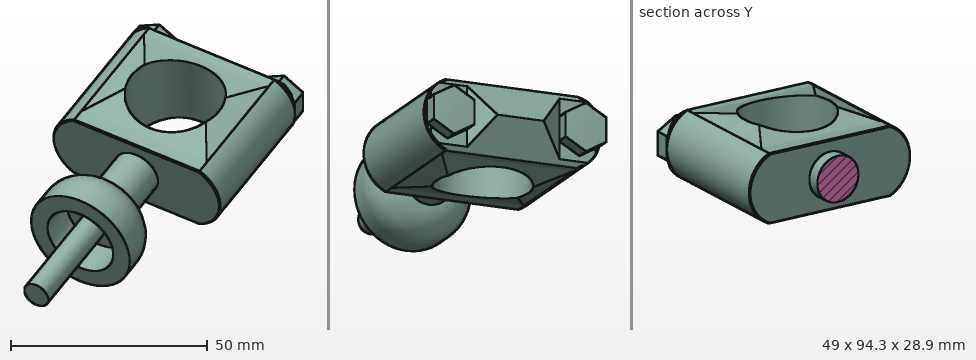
import cadquery as cq
import math

half_width = 24.5
half_thickness = 9.5
side_radius = 10.5
block_front_y = -19.7
block_back_y = 18.7
block_edge = 0.3
bore_radius = 12.8

pad_base_half_x = 18.1
pad_base_half_y = 15.5
pad_top_half_x = 11.9
pad_top_half_y = 5.0
pad_height = 1.9
pad_top_z = half_thickness + pad_height

cap_flat_y = 19.3
cap_end_inset = 1.4
ridge_y = 23.9
ridge_half_length = 6.4
ridge_foot_half_length = 12.8

bolt_x = 18.3
bolt_corner_radius = 6.5
bolt_flat_radius = bolt_corner_radius * math.cos(math.pi / 6)
head_top_y = 23.5
head_dome_height = 0.24
head_dome_radius = (bolt_flat_radius**2 + head_dome_height**2) / (2 * head_dome_height)

total_length = 94.3
stem_radius = 12.6 / 2
cup_radius = 28.9 / 2
cup_fillet = cup_radius - stem_radius
cup_back_y = -33.85
cup_front_y = -48.1
cup_bore_radius = 9.6
cup_bore_depth = 9.6
rod_radius = 7.1 / 2
rod_end_y = ridge_y - total_length


def along_y(start_y):
    """Plane square to Y at start_y, with local x on X, local y on Z and extrusion toward -Y."""
    return cq.Workplane("XZ", origin=(0, start_y, 0))


def block_section(start_y, length):
    """Rounded bar section, trimmed flat at top and bottom, extruded toward -Y."""
    width = 2 * half_width
    rounded = along_y(start_y).slot2D(width, 2 * side_radius).extrude(length)
    flats = along_y(start_y).rect(width, 2 * half_thickness).extrude(length)
    return rounded.intersect(flats)


def make_block():
    block = block_section(block_back_y, block_back_y - block_front_y)
    return block.faces("<Y or >Y").chamfer(block_edge)


def pad_outline(top_half_x):
    """Corners of a trapezoid across the pad, in X and Z."""
    return [
        (-pad_base_half_x, half_thickness),
        (pad_base_half_x, half_thickness),
        (top_half_x, pad_top_z),
        (-top_half_x, pad_top_z),
    ]


def make_pad():
    """Low pyramid with side faces that follow the bore edge across its middle."""
    pad = (
        cq.Workplane("XY", origin=(0, 0, half_thickness))
        .rect(2 * pad_base_half_x, 2 * pad_base_half_y)
        .workplane(offset=pad_height)
        .rect(2 * pad_top_half_x, 2 * pad_top_half_y)
        .loft(ruled=True)
    )
    for side in (-1, 1):
        middle = (
            along_y(0)
            .polyline(pad_outline(bore_radius))
            .close()
            .workplane(offset=side * pad_top_half_y)
            .polyline(pad_outline(pad_top_half_x))
            .close()
            .loft(ruled=True)
        )
        pad = pad.union(middle)
    return pad


def make_cap():
    """Gable whose roof slopes to both flat faces, with its ridge cut short along X."""
    profile_right = [
        (half_width - block_edge, block_back_y),
        (half_width - block_edge - cap_end_inset, cap_flat_y),
        (ridge_foot_half_length, cap_flat_y),
        (ridge_half_length, ridge_y),
    ]
    profile_left = [(-x, y) for x, y in reversed(profile_right)]
    profile = (
        cq.Workplane("XY")
        .polyline(profile_right + profile_left)
        .close()
        .extrude(half_thickness, both=True)
    )
    roof_half = half_thickness - block_edge
    roof = (
        cq.Workplane("YZ")
        .polyline([(block_back_y, -roof_half), (ridge_y, 0), (block_back_y, roof_half)])
        .close()
        .extrude(half_width, both=True)
    )
    outline = block_section(ridge_y, ridge_y - block_back_y)
    return profile.intersect(roof).intersect(outline)


def make_bolt_head(x):
    """Hexagon head with corners pointing up and down, under a shallow dome."""
    head = (
        along_y(head_top_y)
        .center(x, 0)
        .transformed(rotate=(0, 0, 90))
        .polygon(6, 2 * bolt_corner_radius)
        .extrude(head_top_y - cap_flat_y)
    )
    dome = (
        cq.Workplane("XY", origin=(x, 0, 0))
        .moveTo(0, head_top_y)
        .lineTo(bolt_flat_radius, head_top_y)
        .radiusArc((0, head_top_y + head_dome_height), -head_dome_radius)
        .close()
        .revolve(360, (0, 0, 0), (0, 1, 0))
    )
    return head.union(dome)


def make_stem_and_cup():
    floor_y = cup_front_y + cup_bore_depth
    return (
        cq.Workplane("XY")
        .moveTo(0, block_front_y)
        .lineTo(stem_radius, block_front_y)
        .lineTo(stem_radius, cup_back_y)
        .radiusArc((cup_radius, cup_back_y - cup_fillet), cup_fillet)
        .lineTo(cup_radius, cup_front_y)
        .lineTo(cup_bore_radius, cup_front_y)
        .lineTo(cup_bore_radius, floor_y)
        .lineTo(rod_radius, floor_y)
        .lineTo(rod_radius, rod_end_y)
        .lineTo(0, rod_end_y)
        .close()
        .revolve(360, (0, 0, 0), (0, 1, 0))
    )


bore = cq.Workplane("XY", origin=(0, 0, -pad_top_z)).circle(bore_radius).extrude(2 * pad_top_z)
upper_pad = make_pad()
lower_pad = upper_pad.mirror("XY")

result = make_block().union(make_cap()).union(upper_pad).union(lower_pad).cut(bore)
result = result.union(make_stem_and_cup())
for bolt_side in (-1, 1):
    result = result.union(make_bolt_head(bolt_side * bolt_x))